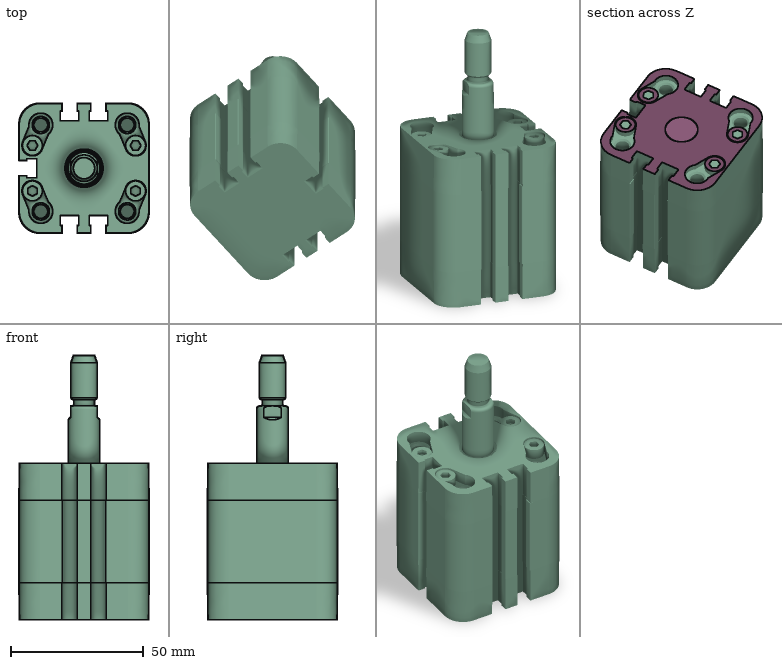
import cadquery as cq
import math

BODY_SIZE = 49.0
BODY_HEIGHT = 59.0
CAP_HEIGHT = 14.0
CORNER_RADIUS = 8.0
CAP_DRAFT_INSET = 0.17

SLOT_FLOOR = 17.85
SLOT_LIP_INNER = 21.5
SLOT_WIDTH = 7.0
CAP_SLOT_MOUTH = 5.8
CAP_SLOT_OFFSET = 5.5
BARREL_SLOT_MOUTH = 5.5
BARREL_SLOT_OFFSET = 5.35
BARREL_LIP_ROUND = 0.35

MOUNT_HOLE_XY = 16.25
MOUNT_POCKET_DIAMETER = 9.0
MOUNT_HOLE_DIAMETER = 5.2
MOUNT_HOLE_CHAMFER = 0.65
MOUNT_HOLE_DEPTH = 6.0
SCREW_X = 19.4
SCREW_Y = 8.55
SCREW_POCKET_WIDTH = 7.9
SCREW_HEAD_DIAMETER = 7.5
SCREW_POCKET_DEPTH = 4.6
SCREW_HEAD_RECESS = 0.6
SOCKET_ACROSS_FLATS = 3.5
SOCKET_DEPTH = 2.0

ROD_DIAMETER = 12.0
ROD_SHOULDER_HEIGHT = 21.5
ROD_SHOULDER_ROUND = 1.2
ROD_TIP_HEIGHT = 40.5
FLAT_ACROSS = 10.0
FLAT_LENGTH = 4.25
THREAD_DIAMETER = 10.0
THREAD_LENGTH = 16.0
NECK_DIAMETER = 7.9
NECK_RELIEF_DIAMETER = 8.57
TIP_DIAMETER = 8.0
TIP_CHAMFER_LENGTH = 2.8

WIPER_MOUTH_DIAMETER = 14.4
WIPER_SEAT_DIAMETER = 14.0
WIPER_SEAT_DEPTH = 0.2
WIPER_CONE_DIAMETER = 13.7
WIPER_LIP_DIAMETER = 12.54
WIPER_DEPTH = 0.5

BARREL_HEIGHT = BODY_HEIGHT - 2 * CAP_HEIGHT
FRONT_CAP_BASE = BODY_HEIGHT - CAP_HEIGHT
HALF_BODY = BODY_SIZE / 2
CUT_MARGIN = 1.0


def t_slot_cutter(mouth, offset, angle, height):
    """A T-slot cutter along Z, opening toward -X at 0 degrees and turned about Z by `angle`."""
    reach = HALF_BODY + CUT_MARGIN
    undercut_depth = SLOT_LIP_INNER - SLOT_FLOOR
    undercut = cq.Workplane("XY").box(undercut_depth, SLOT_WIDTH, height, centered=(False, True, False))
    neck = cq.Workplane("XY").box(reach - SLOT_FLOOR, mouth, height, centered=(False, True, False))
    cutter = (
        undercut.translate((-SLOT_LIP_INNER, 0, 0))
        .union(neck.translate((-reach, 0, 0)))
    )
    return cutter.translate((0, offset, 0)).rotate((0, 0, 0), (0, 0, 1), angle)


def cut_t_slots(block, mouth, side_offset, height):
    block = block.cut(t_slot_cutter(mouth, 0, 0, height))
    for angle in (90, -90):
        for offset in (side_offset, -side_offset):
            block = block.cut(t_slot_cutter(mouth, offset, angle, height))
    return block


def rounded_square():
    return cq.Sketch().rect(BODY_SIZE, BODY_SIZE).vertices().fillet(CORNER_RADIUS)


def make_barrel():
    barrel = cq.Workplane("XY").placeSketch(rounded_square()).extrude(BARREL_HEIGHT)
    barrel = cut_t_slots(barrel, BARREL_SLOT_MOUTH, BARREL_SLOT_OFFSET, BARREL_HEIGHT)
    half_mouth = BARREL_SLOT_MOUTH / 2
    lip_edges = [(-HALF_BODY, side * half_mouth) for side in (1, -1)]
    for y in (HALF_BODY, -HALF_BODY):
        for side in (1, -1):
            middle = side * BARREL_SLOT_OFFSET
            lip_edges += [(middle - half_mouth, y), (middle + half_mouth, y)]
    selector = None
    for x, y in lip_edges:
        at_edge = cq.selectors.BoxSelector(
            (x - BARREL_LIP_ROUND, y - BARREL_LIP_ROUND, 0),
            (x + BARREL_LIP_ROUND, y + BARREL_LIP_ROUND, BARREL_HEIGHT),
        )
        selector = at_edge if selector is None else selector + at_edge
    lips = barrel.edges("|Z").edges(selector)
    return lips.fillet(BARREL_LIP_ROUND).translate((0, 0, CAP_HEIGHT))


def make_cap_block():
    """A cap standing on its barrel face, with walls that lean in toward its outer face."""
    draft_angle = math.degrees(math.atan2(CAP_DRAFT_INSET, CAP_HEIGHT))
    cap = cq.Workplane("XY").placeSketch(rounded_square()).extrude(CAP_HEIGHT, taper=draft_angle)
    return cut_t_slots(cap, CAP_SLOT_MOUTH, CAP_SLOT_OFFSET, CAP_HEIGHT)


def make_rear_cap():
    return make_cap_block().mirror("XY").translate((0, 0, CAP_HEIGHT))


def cylinder(diameter, bottom, top, x=0.0, y=0.0):
    return cq.Workplane("XY", origin=(x, y, bottom)).circle(diameter / 2).extrude(top - bottom)


def cut_screw_pocket(cap, side_x, side_y):
    """Cut one pocket with its mounting hole and leave the sunk screw head standing in it."""
    mount_x = side_x * MOUNT_HOLE_XY
    mount_y = side_y * MOUNT_HOLE_XY
    screw_x = side_x * SCREW_X
    screw_y = side_y * SCREW_Y
    floor = CAP_HEIGHT - SCREW_POCKET_DEPTH
    head_top = CAP_HEIGHT - SCREW_HEAD_RECESS

    run_x = mount_x - screw_x
    run_y = mount_y - screw_y
    run = math.hypot(run_x, run_y)
    channel = (
        cq.Workplane("XY", origin=((mount_x + screw_x) / 2, (mount_y + screw_y) / 2, floor))
        .slot2D(run + SCREW_POCKET_WIDTH, SCREW_POCKET_WIDTH, math.degrees(math.atan2(run_y, run_x)))
        .extrude(SCREW_POCKET_DEPTH)
    )
    pocket = channel.union(cylinder(MOUNT_POCKET_DIAMETER, floor, CAP_HEIGHT, mount_x, mount_y))
    hole = cylinder(MOUNT_HOLE_DIAMETER, floor - MOUNT_HOLE_DEPTH, floor, mount_x, mount_y)
    countersink = (
        cq.Workplane("XY", origin=(mount_x, mount_y, floor))
        .circle(MOUNT_HOLE_DIAMETER / 2 + MOUNT_HOLE_CHAMFER)
        .extrude(-MOUNT_HOLE_CHAMFER, taper=45)
    )
    socket_width = SOCKET_ACROSS_FLATS / math.cos(math.pi / 6)
    head = cylinder(SCREW_HEAD_DIAMETER, floor, head_top, screw_x, screw_y)
    socket_turn = 0 if side_y > 0 else 30
    socket = (
        cq.Workplane("XY")
        .polygon(6, socket_width)
        .extrude(SOCKET_DEPTH)
        .rotate((0, 0, 0), (0, 0, 1), socket_turn)
        .translate((screw_x, screw_y, head_top - SOCKET_DEPTH))
    )
    return cap.cut(pocket).cut(hole).cut(countersink).union(head.cut(socket))


def wiper_recess():
    """The stepped, funnel-shaped recess around the rod in the front face of the cap."""
    seat = CAP_HEIGHT - WIPER_SEAT_DEPTH
    floor = CAP_HEIGHT - WIPER_DEPTH
    return (
        cq.Workplane("XZ")
        .polyline([
            (0, floor),
            (WIPER_LIP_DIAMETER / 2, floor),
            (WIPER_CONE_DIAMETER / 2, seat),
            (WIPER_SEAT_DIAMETER / 2, seat),
            (WIPER_MOUTH_DIAMETER / 2, CAP_HEIGHT),
            (0, CAP_HEIGHT),
        ])
        .close()
        .revolve(360, (0, 0, 0), (0, 1, 0))
    )


def make_front_cap():
    cap = make_cap_block()
    for side_x in (1, -1):
        for side_y in (1, -1):
            cap = cut_screw_pocket(cap, side_x, side_y)
    cap = cap.cut(cylinder(ROD_DIAMETER, 0, CAP_HEIGHT))
    return cap.cut(wiper_recess()).translate((0, 0, FRONT_CAP_BASE))


def make_rod():
    shoulder = BODY_HEIGHT + ROD_SHOULDER_HEIGHT
    tip = BODY_HEIGHT + ROD_TIP_HEIGHT
    thread_chamfer = (THREAD_DIAMETER - NECK_RELIEF_DIAMETER) / 2
    neck_fillet = (NECK_RELIEF_DIAMETER - NECK_DIAMETER) / 2
    thread_end = tip - THREAD_LENGTH
    shank = cylinder(ROD_DIAMETER, FRONT_CAP_BASE, shoulder).faces(">Z").edges().fillet(ROD_SHOULDER_ROUND)

    flat_x = FLAT_ACROSS / 2
    outside_x = ROD_DIAMETER / 2 + CUT_MARGIN
    flat_bottom = shoulder - FLAT_LENGTH
    flat_cutter = (
        cq.Workplane("XZ")
        .polyline([
            (flat_x, shoulder),
            (flat_x, flat_bottom),
            (outside_x, flat_bottom - (outside_x - flat_x)),
            (outside_x, shoulder),
        ])
        .close()
        .extrude(ROD_DIAMETER / 2, both=True)
    )
    shank = shank.cut(flat_cutter).cut(flat_cutter.mirror("YZ"))

    stud = (
        cq.Workplane("XZ")
        .moveTo(0, shoulder)
        .lineTo(NECK_RELIEF_DIAMETER / 2, shoulder)
        .radiusArc((NECK_DIAMETER / 2, shoulder + neck_fillet), neck_fillet)
        .polyline([
            (NECK_DIAMETER / 2, thread_end - thread_chamfer),
            (NECK_RELIEF_DIAMETER / 2, thread_end - thread_chamfer),
            (THREAD_DIAMETER / 2, thread_end),
            (THREAD_DIAMETER / 2, tip - TIP_CHAMFER_LENGTH),
            (TIP_DIAMETER / 2, tip),
            (0, tip),
        ], includeCurrent=True)
        .close()
        .revolve(360, (0, 0, 0), (0, 1, 0))
    )
    return shank.union(stud)


barrel = make_barrel()
front_cap = make_front_cap()
rear_cap = make_rear_cap()
rod = make_rod()

result = cq.Compound.makeCompound([barrel.val(), front_cap.val(), rear_cap.val(), rod.val()])